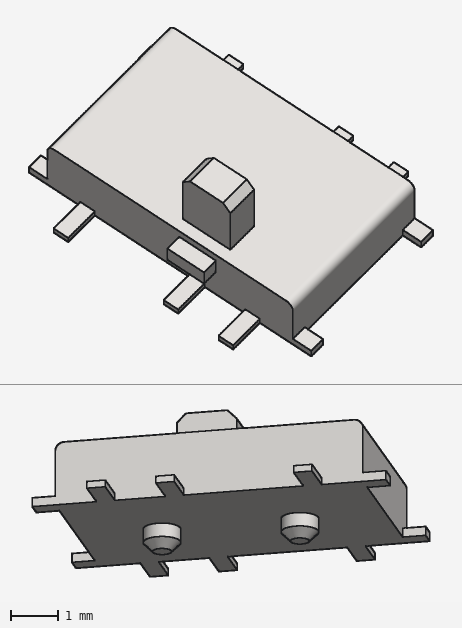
import cadquery as cq

housing_length = 6.7
housing_width = 4.1
housing_height = 1.4
end_edge_radius = 0.2

terminal_width = 0.4
side_terminal_reach = 0.9
side_terminal_thickness = 0.15
side_terminal_positions = (-2.25, 0.75, 2.25)
end_terminal_reach = 0.5
end_terminal_thickness = 0.2

knob_length = 1.3
knob_width = 0.8
knob_height = 1.5
knob_chamfer = 0.2
knob_center_x = 0.75
knob_front_setback = 0.3

tab_length = 1.0
tab_reach = 0.4
tab_bottom = 0.8
tab_height = 0.4

peg_diameter = 0.8
peg_height = 0.5
peg_chamfer = 0.2
peg_spacing = 3.0

half_length = housing_length / 2
half_width = housing_width / 2


def make_block(length, width, height, center_x, center_y, bottom):
    """Rectangular block placed by the centre of its bottom face."""
    block = cq.Workplane("XY").box(length, width, height, centered=(True, True, False))
    return block.translate((center_x, center_y, bottom))


def make_housing():
    """Flat box with its two upper end edges rounded."""
    box = make_block(housing_length, housing_width, housing_height, 0, 0, 0)
    return box.faces(">Z").edges("|Y").fillet(end_edge_radius)


def make_side_terminals():
    """Strips crossing the housing floor and projecting at front and back."""
    strip_length = housing_width + 2 * side_terminal_reach
    strips = cq.Workplane("XY")
    for x in side_terminal_positions:
        strips = strips.union(
            make_block(terminal_width, strip_length, side_terminal_thickness, x, 0, 0)
        )
    return strips


def make_end_terminals():
    """Strips inside the front and back walls, projecting at both ends."""
    strip_length = housing_length + 2 * end_terminal_reach
    center_y = half_width - terminal_width / 2
    strips = cq.Workplane("XY")
    for y in (-center_y, center_y):
        strips = strips.union(
            make_block(strip_length, terminal_width, end_terminal_thickness, 0, y, 0)
        )
    return strips


def make_knob():
    """Upright knob with chamfered left and right top edges."""
    center_y = -half_width + knob_front_setback + knob_width / 2
    knob = make_block(
        knob_length, knob_width, knob_height, knob_center_x, center_y, housing_height
    )
    return knob.faces(">Z").edges("|Y").chamfer(knob_chamfer)


def make_tab():
    """Small block on the front wall."""
    center_y = -half_width - tab_reach / 2
    return make_block(tab_length, tab_reach, tab_height, knob_center_x, center_y, tab_bottom)


def make_pegs():
    """Two round pegs with chamfered tips."""
    return (
        cq.Workplane("XY")
        .pushPoints([(-peg_spacing / 2, 0), (peg_spacing / 2, 0)])
        .circle(peg_diameter / 2)
        .extrude(-peg_height)
        .faces("<Z")
        .edges()
        .chamfer(peg_chamfer)
    )


result = (
    make_housing()
    .union(make_side_terminals())
    .union(make_end_terminals())
    .union(make_knob())
    .union(make_tab())
    .union(make_pegs())
)